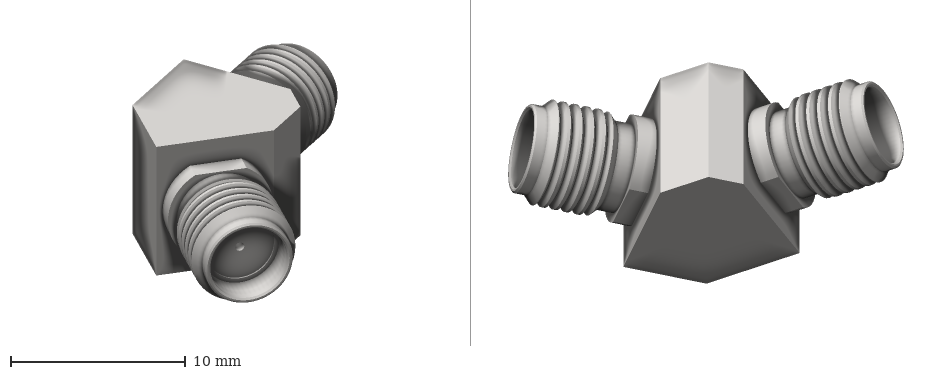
import cadquery as cq
import math


BEND = 45.0
BLOCK_HEIGHT = 8.5
FACE_WIDTH = 7.0
RIGHT_REACH = 3.55
LEFT_REACH = 4.55
BLOCK_DEPTH = 9.2

CONNECTOR_LENGTH = 7.23
NECK_RADIUS = 2.2
COLLAR_START = 0.1
COLLAR_LENGTH = 1.13
COLLAR_RADIUS = 3.15
COLLAR_FLATS = 5.52
BARREL_RADIUS = 2.61
RIM_CHAMFER = 0.1

THREAD_START = 2.24
THREAD_END = 6.45
THREAD_RADIUS = 3.1
GROOVE_COUNT = 5
FIRST_GROOVE = 2.88
LAST_GROOVE = 5.68
PITCH = (LAST_GROOVE - FIRST_GROOVE) / (GROOVE_COUNT - 1)
ROOT_RADIUS = 2.65
GROOVE_HALF_ANGLE = 30.0
GROOVE_OVERCUT = 0.2

BORE_RADIUS = 2.3
BORE_DEPTH = 1.92
RECESS_RADIUS = 2.03
RECESS_DEPTH = 0.1
CONTACT_RADIUS = 0.27
CONTACT_DEPTH = 1.05


def make_block():
    half_face = FACE_WIDTH / 2
    axis_angle = math.radians(180 - BEND)
    axis_x = math.cos(axis_angle)
    axis_y = math.sin(axis_angle)

    def on_slanted_face(offset):
        """Point on the slanted face, offset sideways from its connector axis toward the outer side."""
        return (LEFT_REACH * axis_x - offset * axis_y, LEFT_REACH * axis_y + offset * axis_x)

    top_y = BLOCK_DEPTH - half_face
    corner_cut = top_y - half_face
    miter = half_face * math.tan(math.radians(BEND / 2))
    outline = [
        (RIGHT_REACH, -half_face),
        (RIGHT_REACH, half_face),
        (RIGHT_REACH - corner_cut, top_y),
        on_slanted_face(-half_face),
        on_slanted_face(half_face),
        (-miter, -half_face),
    ]
    return cq.Workplane("XY").polyline(outline).close().extrude(BLOCK_HEIGHT / 2, both=True)


def disc(start, length, radius):
    """Cylinder along X."""
    return cq.Workplane("YZ").workplane(offset=start).circle(radius).extrude(length)


def make_collar():
    """Round collar with two flats, facing up and down."""
    flats = cq.Workplane("XY").box(2 * CONNECTOR_LENGTH, 2 * COLLAR_RADIUS, COLLAR_FLATS)
    return disc(COLLAR_START, COLLAR_LENGTH, COLLAR_RADIUS).intersect(flats)


def make_groove(position):
    """Ring-shaped V groove cutter whose root is at the given position."""
    outer_radius = THREAD_RADIUS + GROOVE_OVERCUT
    half_width = (outer_radius - ROOT_RADIUS) * math.tan(math.radians(GROOVE_HALF_ANGLE))
    section = [
        (position, ROOT_RADIUS),
        (position + half_width, outer_radius),
        (position - half_width, outer_radius),
    ]
    return cq.Workplane("XY").polyline(section).close().revolve(360, (0, 0, 0), (1, 0, 0))


def make_thread():
    """Thread made of parallel ridges, with both ends bevelled down to the barrel."""
    thread = disc(THREAD_START, THREAD_END - THREAD_START, THREAD_RADIUS)
    thread = thread.edges().chamfer(THREAD_RADIUS - BARREL_RADIUS)
    for index in range(GROOVE_COUNT):
        thread = thread.cut(make_groove(FIRST_GROOVE + index * PITCH))
    return thread


def cut_bore(connector):
    """Stepped bore in the outer end, with a bevelled mouth and a contact socket."""
    bore_floor = CONNECTOR_LENGTH - BORE_DEPTH
    recess_floor = bore_floor - RECESS_DEPTH
    mouth_start = CONNECTOR_LENGTH - RIM_CHAMFER
    mouth = (
        cq.Workplane("YZ").workplane(offset=mouth_start).circle(BORE_RADIUS)
        .workplane(offset=RIM_CHAMFER).circle(BORE_RADIUS + RIM_CHAMFER).loft()
    )
    return (
        connector
        .cut(disc(bore_floor, BORE_DEPTH, BORE_RADIUS))
        .cut(mouth)
        .cut(disc(recess_floor, RECESS_DEPTH, RECESS_RADIUS))
        .cut(disc(recess_floor - CONTACT_DEPTH, CONTACT_DEPTH, CONTACT_RADIUS))
    )


def make_connector(reach, angle):
    """Connector seated on a block face at the given reach and direction about Z."""
    barrel_start = COLLAR_START + COLLAR_LENGTH
    barrel = disc(barrel_start, CONNECTOR_LENGTH - barrel_start, BARREL_RADIUS)
    barrel = barrel.faces(">X").edges().chamfer(RIM_CHAMFER)
    connector = (
        disc(0, COLLAR_START, NECK_RADIUS)
        .union(make_collar())
        .union(barrel)
        .union(make_thread())
    )
    connector = cut_bore(connector)
    return connector.translate((reach, 0, 0)).rotate((0, 0, 0), (0, 0, 1), angle)


block = make_block()
connectors = [
    make_connector(reach, angle)
    for reach, angle in [(RIGHT_REACH, 0.0), (LEFT_REACH, 180 - BEND)]
]

result = cq.Compound.makeCompound([block.val(), *[connector.solids().val() for connector in connectors]])